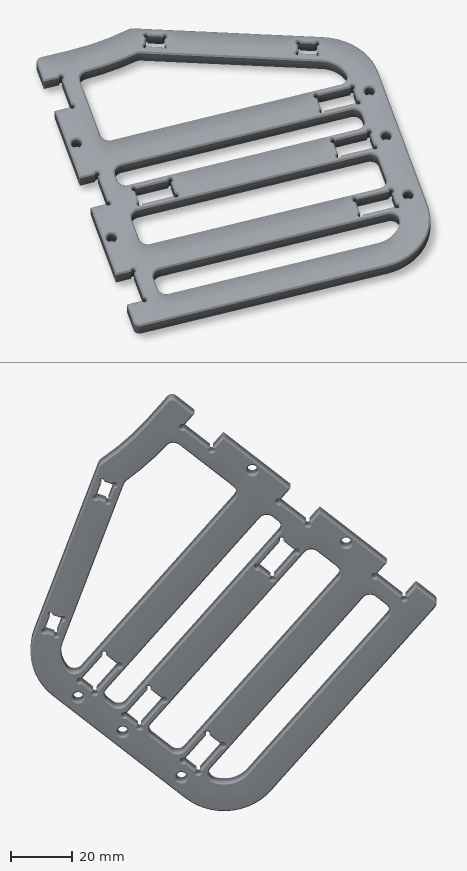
import cadquery as cq
import math

width = 114.0
height = 106.0
thickness = 5.0
edge_chamfer = 0.5
frame_width = 10.0

top_corner_radius = 20.0
foot_corner_radius = 2.0
lean_angle = 20.0
bend_x = -2.82
bend_y = 33.5
bend_radius = 2.5
curve_start_y = 12.0

bar_width = 10.8
bar_centers = [44.3, 63.3, 88.3]
window_bottom = 11.5
window_top = height - frame_width
window_radius = 3.0

relief_radius = 0.75
small_relief_radius = 0.6
socket_width = 6.4
socket_length = 12.4
upper_socket_y = 90.0
lower_socket_y = 22.0
small_socket_width = 4.2
small_socket_length = 6.2
small_socket_spacing = 50.0
small_socket_rise = 8.3

notch_centers = [16.0, 57.0, 98.0]
notch_depth = 6.0

hole_diameter = 3.4
top_hole_y = height - frame_width / 2
bottom_hole_y = 3.0
bottom_hole_centers = [37.0, 77.0]

lean = math.radians(lean_angle)


def round_corners(solid, low, high, radius):
    """Fillet the upright edges within the rectangle from low to high."""
    margin = 1.0
    box = cq.selectors.BoxSelector(
        (low[0] - margin, low[1] - margin, 0),
        (high[0] + margin, high[1] + margin, thickness),
    )
    return solid.edges("|Z").edges(box).fillet(radius)


def outline_blank():
    """Plate without openings: a leaning left edge above a shallow curve."""
    apex_x = bend_x + (height - bend_y) * math.tan(lean)
    rise = bend_y - curve_start_y
    curve_radius = (rise**2 + bend_x**2) / (2 * -bend_x)
    half_sweep = math.asin(rise / curve_radius) / 2
    curve_mid = (
        -curve_radius * (1 - math.cos(half_sweep)),
        curve_start_y + curve_radius * math.sin(half_sweep),
    )
    blank = (
        cq.Workplane("XY")
        .moveTo(0, 0)
        .lineTo(width, 0)
        .lineTo(width, height)
        .lineTo(apex_x, height)
        .lineTo(bend_x, bend_y)
        .threePointArc(curve_mid, (0, curve_start_y))
        .close()
        .extrude(thickness)
    )
    blank = round_corners(blank, (0, 0), (width, 0), foot_corner_radius)
    blank = round_corners(blank, (apex_x, height), (width, height), top_corner_radius)
    return round_corners(blank, (bend_x, bend_y), (bend_x, bend_y), bend_radius)


def window_cutter(inset, left, right):
    """Part of the inset outline between two bars, with every corner rounded."""
    column = (
        cq.Workplane("XY")
        .box(right - left, window_top - window_bottom, thickness, centered=False)
        .translate((left, window_bottom, 0))
    )
    sharp_wire = inset.intersect(column).faces("<Z").wires().val()
    shrunk_wire = sharp_wire.offset2D(-window_radius)[0]
    round_wire = shrunk_wire.offset2D(window_radius)[0]
    return cq.Workplane("XY").add(round_wire).toPending().extrude(thickness)


def cut_windows(plate):
    """Leave a rim of frame_width and the vertical bars."""
    inset_wire = plate.faces("<Z").wires().val().offset2D(-frame_width)[0]
    inset = cq.Workplane("XY").add(inset_wire).toPending().extrude(thickness)
    left_edges = [bend_x] + [x + bar_width / 2 for x in bar_centers]
    right_edges = [x - bar_width / 2 for x in bar_centers] + [width]
    for left, right in zip(left_edges, right_edges):
        plate = plate.cut(window_cutter(inset, left, right))
    return plate


def socket_cutter(x, y, size_x, size_y, relief=relief_radius, angle=0):
    """Rectangle with a round relief centred on each corner, turned about its centre."""
    body = cq.Workplane("XY").rect(size_x, size_y).extrude(thickness)
    reliefs = (
        cq.Workplane("XY")
        .rect(size_x, size_y, forConstruction=True)
        .vertices()
        .circle(relief)
        .extrude(thickness)
    )
    cutter = body.union(reliefs)
    return cutter.rotate((0, 0, 0), (0, 0, 1), angle).translate((x, y, 0))


def cut_sockets(plate):
    """Upright sockets in the bars and two small ones in the leaning side."""
    for x in bar_centers:
        plate = plate.cut(socket_cutter(x, upper_socket_y, socket_width, socket_length))
    plate = plate.cut(socket_cutter(bar_centers[1], lower_socket_y, socket_width, socket_length))
    half_frame = frame_width / 2
    for distance in (small_socket_rise, small_socket_rise + small_socket_spacing):
        x = bend_x + distance * math.sin(lean) + half_frame * math.cos(lean)
        y = bend_y + distance * math.cos(lean) - half_frame * math.sin(lean)
        cutter = socket_cutter(
            x, y, small_socket_width, small_socket_length, small_relief_radius, -lean_angle
        )
        plate = plate.cut(cutter)
    return plate


def cut_notches(plate):
    """Open notches in the bottom edge, relieved at their inner corners."""
    for x in notch_centers:
        plate = plate.cut(socket_cutter(x, 0, socket_length, 2 * notch_depth))
    return plate


def cut_screw_holes(plate):
    """A hole above each bar and two along the bottom edge."""
    centers = [(x, top_hole_y) for x in bar_centers]
    centers += [(x, bottom_hole_y) for x in bottom_hole_centers]
    holes = cq.Workplane("XY").pushPoints(centers).circle(hole_diameter / 2).extrude(thickness)
    return plate.cut(holes)


plate = outline_blank()
plate = cut_windows(plate)
plate = cut_sockets(plate)
plate = cut_notches(plate)
plate = cut_screw_holes(plate)
result = plate.faces("<Z or >Z").edges().chamfer(edge_chamfer)